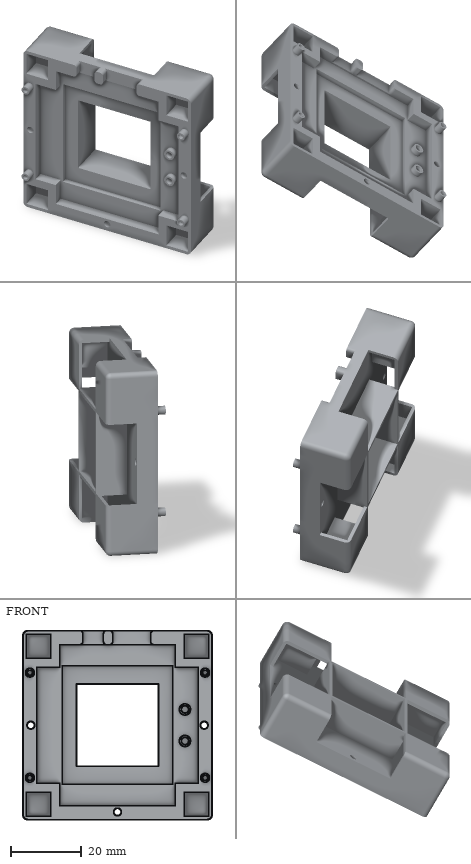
import cadquery as cq

side = 54.0
depth = 15.0
plate = 6.0
wall = 1.0
edge_radius = 1.5

recess_side = 46.0
recess_corner = 6.5
recess_depth = 3.0
inner_recess_x = 31.4
inner_recess_z = 33.8
inner_recess_depth = 4.5
window_x = 23.3
window_z = 23.4

pocket_side = 6.9
pocket_center = side / 2 - wall - pocket_side / 2

notch_width = 24.0
channel_half_x = 15.0
channel_half_z = 18.0

rim_gaps = [(-9.9, -4.0), (-1.4, 9.5)]
gap_depth = 2.5
gap_radius = 0.85

pin_x = 25.0
pin_z = 15.0
pin_diameter = 2.5
pin_bore = 1.5
pin_length = 2.5
post_x = 19.25
post_z = 4.5
post_diameter = 3.2
post_bore = 2.08
post_length = 1.7
screw_hole = 2.08
screw_offset = 24.75

half = side / 2


def block(size_x, size_z, front, back, center_x=0.0, center_z=0.0):
    """Box between two Y positions, centred on a point in the XZ plane."""
    box = cq.Workplane("XY").box(size_x, back - front, size_z)
    return box.translate((center_x, (front + back) / 2, center_z))


def cylinder(diameter, front, back, x, z):
    """Round bar along Y between two Y positions."""
    axis = cq.Vector(0, 1, 0)
    return cq.Workplane(cq.Solid.makeCylinder(diameter / 2, back - front, cq.Vector(x, front, z), axis))


def mirrored_points(x, z):
    """The four points mirrored about both mid planes."""
    return [(sx * x, sz * z) for sx in (-1, 1) for sz in (-1, 1)]


def make_shell():
    """Rounded block hollowed from inside by a cross of channels around a window tube."""
    shell = block(side, side, 0, depth).edges("|Y").fillet(edge_radius)
    shell = shell.faces(">Y").edges().fillet(edge_radius)

    inside = side - 2 * wall
    cavity_back = depth - wall
    channels = block(2 * channel_half_x, inside, plate, cavity_back)
    channels = channels.union(block(inside, 2 * channel_half_z, plate, cavity_back))
    notches = block(notch_width, side, plate, depth).union(block(side, notch_width, plate, depth))
    tube = block(window_x + 2 * wall, window_z + 2 * wall, plate, depth)
    return shell.cut(channels.union(notches).cut(tube))


def cut_front(body):
    """Cut the cross-shaped recess, inner recess, window and corner pockets."""
    narrow = recess_side - 2 * recess_corner
    body = body.cut(block(recess_side, narrow, 0, recess_depth))
    body = body.cut(block(narrow, recess_side, 0, recess_depth))
    body = body.cut(block(inner_recess_x, inner_recess_z, 0, inner_recess_depth))
    body = body.cut(block(window_x, window_z, 0, depth))
    for x, z in mirrored_points(pocket_center, pocket_center):
        body = body.cut(block(pocket_side, pocket_side, 0, plate, x, z))
    return body


def cut_rim_gaps(body):
    """Open the top rim, leaving a tab and rim ends with rounded corners."""
    left = rim_gaps[0][0]
    right = rim_gaps[-1][1]
    rim_bottom = recess_side / 2
    rim_height = half - rim_bottom
    rim_center = (half + rim_bottom) / 2
    body = body.cut(block(right - left, rim_height, 0, gap_depth, (left + right) / 2, rim_center))

    tab_left = rim_gaps[0][1]
    tab_right = rim_gaps[1][0]
    tab = block(tab_right - tab_left, rim_height, 0, gap_depth, (tab_left + tab_right) / 2, rim_center)
    body = body.union(tab.edges("|Y").fillet(gap_radius))

    for end_x, outward in ((left, -1), (right, 1)):
        for edge_z, inward in ((half, -1), (rim_bottom, 1)):
            round_x = end_x + outward * gap_radius
            round_z = edge_z + inward * gap_radius
            corner_x = (end_x + round_x) / 2
            corner_z = (edge_z + round_z) / 2
            corner = block(gap_radius, gap_radius, 0, gap_depth, corner_x, corner_z)
            body = body.cut(corner.cut(cylinder(2 * gap_radius, 0, gap_depth, round_x, round_z)))
    return body


def add_round_features(body):
    """Add the hollow locating pins and posts and drill the screw holes."""
    for x, z in mirrored_points(pin_x, pin_z):
        pin = cylinder(pin_diameter, -pin_length, 0, x, z)
        body = body.union(pin.cut(cylinder(pin_bore, -pin_length, 0, x, z)))
    for z in (-post_z, post_z):
        post_front = recess_depth - post_length
        post = cylinder(post_diameter, post_front, recess_depth, post_x, z)
        body = body.union(post.cut(cylinder(post_bore, post_front, recess_depth, post_x, z)))
    for x, z in ((-screw_offset, 0), (screw_offset, 0), (0, -screw_offset)):
        body = body.cut(cylinder(screw_hole, 0, plate, x, z))
    return body


result = add_round_features(cut_rim_gaps(cut_front(make_shell())))